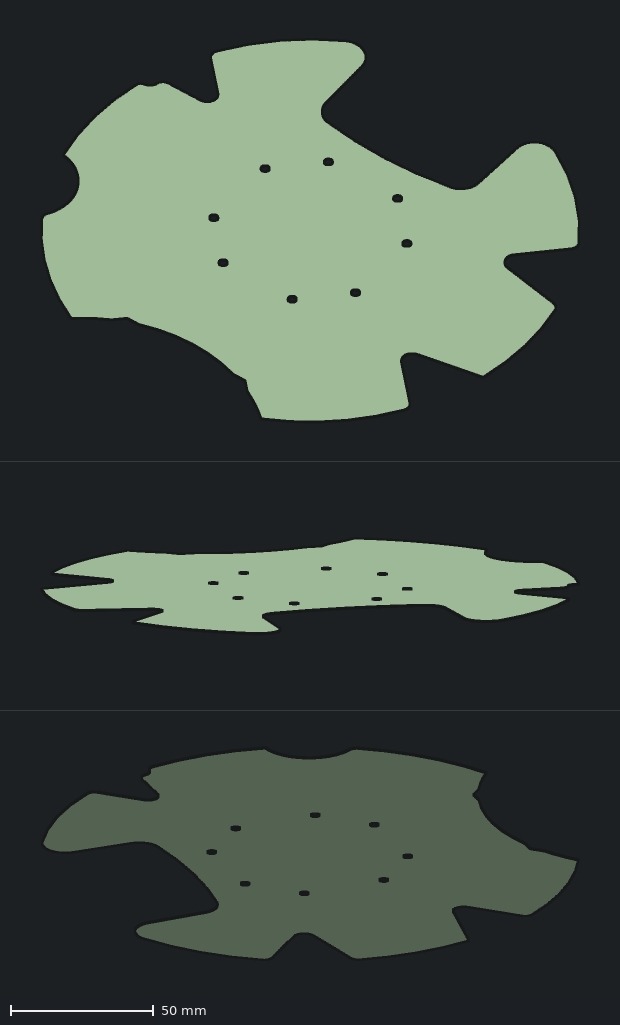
import cadquery as cq
import math

disc_radius = 94.3
thickness = 0.41
reach = 1.2 * disc_radius

hole_diameter = 3.0
hole_far = 31.0
hole_near = 15.0

top_floor_half_width = 33.0
top_taper_deg = 1.5
top_floor_y = 44.3
top_floor_radius = 162.1
top_root_radius = 7.5
top_tip_radius = 8.1

flank_crossing_x = 31.3
v_root_radius = 3.8
tooth_tip_radius = 3.0

right_flank_y = 39.0
right_flank_deg = 10.6
right_upper_tip_radius = 3.4
right_lower_tip_radius = 1.1

left_floor_y = 28.7
scallop_x = -89.7
scallop_y = 26.5
scallop_radius = 3.4
scallop_tip_radius = 2.8

bite_x = -93.9
bite_y = -39.2
bite_radius = 17.5
bite_tip_radius = 0.5

bottom_bite_radius = 64.7
bottom_bite_top_y = -69.5
relief_y = -73.0
relief_inner_x = 18.9
relief_outer_x = 25.8
relief_drop = 4.9
relief_radius = 1.1


def prism(points):
    """Cutter with a straight-sided outline, as thick as the plate."""
    return cq.Workplane("XY").polyline(points).close().extrude(thickness)


def cylinder(x, y, radius):
    return cq.Workplane("XY").center(x, y).circle(radius).extrude(thickness)


def round_corner(body, x, y, radius):
    """Fillet the upright edge of the plate nearest to (x, y)."""
    corner = cq.selectors.NearestToPointSelector((x, y, thickness / 2))
    return body.edges("|Z").edges(corner).fillet(radius)


def rim_y(x):
    return math.sqrt(disc_radius**2 - x**2)


def rim_on_line(slope, offset):
    """Right-hand point where the line y = slope * x + offset meets the rim."""
    a = 1 + slope**2
    b = slope * offset
    c = offset**2 - disc_radius**2
    x = (-b + math.sqrt(b**2 - a * c)) / a
    return x, slope * x + offset


def cut_top_notch(body):
    floor_rise = top_floor_radius - math.sqrt(top_floor_radius**2 - top_floor_half_width**2)
    root_y = top_floor_y + floor_rise
    taper = math.tan(math.radians(top_taper_deg))
    mouth_half_width = top_floor_half_width + (reach - root_y) * taper
    cutter = (
        cq.Workplane("XY")
        .moveTo(-mouth_half_width, reach)
        .lineTo(-top_floor_half_width, root_y)
        .threePointArc((0, top_floor_y), (top_floor_half_width, root_y))
        .lineTo(mouth_half_width, reach)
        .close()
        .extrude(thickness)
    )
    body = body.cut(cutter)
    tip_x = top_floor_half_width + (rim_y(top_floor_half_width) - root_y) * taper
    for side in (-1, 1):
        body = round_corner(body, side * top_floor_half_width, root_y, top_root_radius)
        body = round_corner(body, side * tip_x, rim_y(tip_x), top_tip_radius)
    return body


def cut_right_notch(body, side, rim_tip_radius):
    """V notch above (side = 1) or below (side = -1) the X axis."""
    slope = -math.tan(math.radians(right_flank_deg))
    root_x = (right_flank_y + flank_crossing_x) / (1 - slope)
    root_y = root_x - flank_crossing_x
    outline = [
        (root_x, root_y),
        (reach, right_flank_y + slope * reach),
        (reach, reach - flank_crossing_x),
    ]
    body = body.cut(prism([(x, side * y) for x, y in outline]))
    tooth_x, tooth_y = rim_on_line(1, -flank_crossing_x)
    rim_tip_x, rim_tip_y = rim_on_line(slope, right_flank_y)
    body = round_corner(body, root_x, side * root_y, v_root_radius)
    body = round_corner(body, tooth_x, side * tooth_y, tooth_tip_radius)
    return round_corner(body, rim_tip_x, side * rim_tip_y, rim_tip_radius)


def cut_left_notch(body):
    root_x = -left_floor_y - flank_crossing_x
    outline = [
        (root_x, left_floor_y),
        (-reach, left_floor_y),
        (-reach, reach - flank_crossing_x),
    ]
    body = body.cut(prism(outline))
    body = body.cut(cylinder(scallop_x, scallop_y, scallop_radius))
    floor_end_x = scallop_x + math.sqrt(scallop_radius**2 - (left_floor_y - scallop_y) ** 2)
    tooth_x, tooth_y = rim_on_line(1, -flank_crossing_x)
    scallop_bottom_y = scallop_y - scallop_radius
    body = round_corner(body, root_x, left_floor_y, v_root_radius)
    body = round_corner(body, -tooth_x, tooth_y, tooth_tip_radius)
    body = round_corner(body, floor_end_x, left_floor_y, scallop_radius)
    return round_corner(body, -rim_y(scallop_bottom_y), scallop_bottom_y, scallop_tip_radius)


def cut_left_bite(body):
    body = body.cut(cylinder(bite_x, bite_y, bite_radius))
    centre_distance = math.hypot(bite_x, bite_y)
    centre_angle = math.atan2(bite_y, bite_x)
    half_span = math.acos(
        (disc_radius**2 + centre_distance**2 - bite_radius**2) / (2 * disc_radius * centre_distance)
    )
    for turn, radius in ((-half_span, bite_tip_radius), (half_span, tooth_tip_radius)):
        tip_x = disc_radius * math.cos(centre_angle + turn)
        tip_y = disc_radius * math.sin(centre_angle + turn)
        body = round_corner(body, tip_x, tip_y, radius)
    return body


def cut_bottom_bite(body):
    centre_y = bottom_bite_top_y - bottom_bite_radius
    body = body.cut(cylinder(0, centre_y, bottom_bite_radius))
    foot_x = relief_outer_x + relief_drop
    foot_y = relief_y - relief_drop
    for side in (-1, 1):
        relief = [
            (side * relief_inner_x, relief_y),
            (side * relief_outer_x, relief_y),
            (side * foot_x, foot_y),
            (side * relief_inner_x, foot_y),
        ]
        body = body.cut(prism(relief))
        body = round_corner(body, side * relief_outer_x, relief_y, relief_radius)
    return body


def drill_holes(body):
    centres = []
    for side_x in (-1, 1):
        for side_y in (-1, 1):
            centres.append((side_x * hole_far, side_y * hole_near))
            centres.append((side_x * hole_near, side_y * hole_far))
    holes = cq.Workplane("XY").pushPoints(centres).circle(hole_diameter / 2).extrude(thickness)
    return body.cut(holes)


plate = cylinder(0, 0, disc_radius)
plate = cut_top_notch(plate)
plate = cut_right_notch(plate, 1, right_upper_tip_radius)
plate = cut_right_notch(plate, -1, right_lower_tip_radius)
plate = cut_left_notch(plate)
plate = cut_left_bite(plate)
plate = cut_bottom_bite(plate)
result = drill_holes(plate)